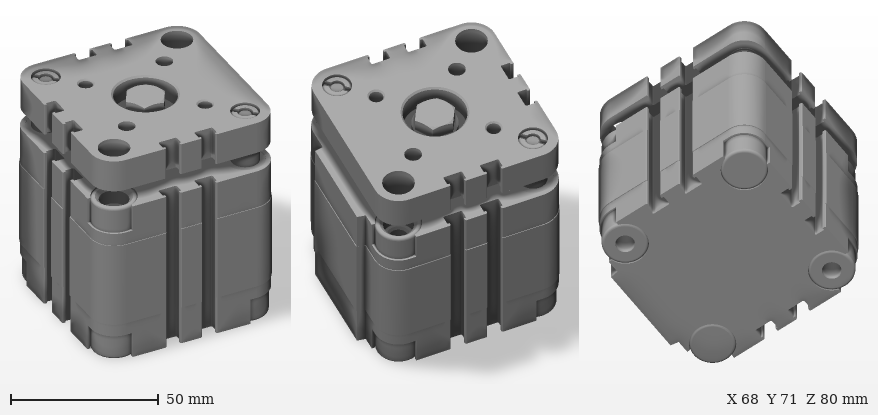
import cadquery as cq
import math


TOTAL_HEIGHT = 80
PLATE_THICKNESS = 12
PLATE_BOTTOM = TOTAL_HEIGHT - PLATE_THICKNESS
HOUSING_HEIGHT = 60.6
BARREL_BOTTOM = 14.5
BARREL_TOP = HOUSING_HEIGHT - BARREL_BOTTOM

BARREL_WIDTH = 68
CAP_INSET = 0.2
CAP_WIDTH = BARREL_WIDTH - 2 * CAP_INSET
PLATE_WIDTH = 67.2
CORNER_SPACING = 50.0
CORNER_OFFSET = CORNER_SPACING / 2

TAB_HEIGHT = 3.0
TAB_TIP_WIDTH = 34.0
TAB_BASE_WIDTH = 35.0

SLOT_OFFSET = 6.8
SLOT_WIDTH = 7.0
SLOT_MOUTH = 5.4
SLOT_DEPTH = 5.0
SLOT_LIP = 1.4
SLOT_MOUTH_CHAMFER = 0.3
SLOT_FLOOR_CHAMFER = 0.3
SLOT_SIDES = (0, -90, 90)

BOSS_DIAMETER = 16
BOSS_HEIGHT = 9.7
BOSS_FACE_DIAMETER = 14.0
BOSS_ROUND = (BOSS_DIAMETER - BOSS_FACE_DIAMETER) / 2
BOSS_CUT_START = 22.4

BOLT_HOLE = 6.6
BOLT_CONE = 8.2
BOLT_BORE = 10.4
BOLT_BORE_DEPTH = 6.4
BOLT_BORE_RIM = 13.0

GUIDE_DIAMETER = 10.0
GUIDE_COLLAR_DIAMETER = 11.0
GUIDE_COLLAR_HEIGHT = 0.4
SEAT_DIAMETER = 14.0
SEAT_DEPTH = 0.2

END_BORE = 10.2
END_FACE = 8.6
END_FACE_DEPTH = 0.5
END_SLOT_WIDTH = 2.0
END_SLOT_DEPTH = 2.2
STUD_DIAMETER = 5.3
STUD_TIP = 4
STUD_DEPTH = 1.1
END_SLOT_ANGLE = 45

ROD_DIAMETER = 16
ROD_TOP = 74.6
ACROSS_FLATS = 13.0
FLATS_BOTTOM = 61.5
HEAD_TOP = 79.4
HEAD_CONE_ANGLE = 30
HEX_SIDES = 6

CENTRE_BORE = 22.0
CENTRE_BORE_DEPTH = 7.8
CENTRE_CHAMFER = 0.6
BOLT_ACCESS_HOLE = 11.0
SMALL_HOLE = 6.0
SMALL_HOLE_SPACING = 30.0
SMALL_HOLE_OFFSET = SMALL_HOLE_SPACING / 2
THREAD_HOLE = 4.9

CORNERS = [(x, y) for x in (-1, 1) for y in (-1, 1)]
ROD_CORNERS = [(-1, -1), (1, 1)]
BOLT_CORNERS = [(-1, 1), (1, -1)]


def at_corners(corners, offset=CORNER_OFFSET):
    return [(x * offset, y * offset) for x, y in corners]


def cylinder(diameter, bottom, top, points=((0, 0),)):
    return (
        cq.Workplane("XY", origin=(0, 0, bottom))
        .pushPoints(list(points)).circle(diameter / 2).extrude(top - bottom)
    )


def cone(bottom_diameter, top_diameter, bottom, top):
    return cq.Workplane(
        cq.Solid.makeCone(bottom_diameter / 2, top_diameter / 2, top - bottom, pnt=cq.Vector(0, 0, bottom))
    )


def rounded_square(width, bottom, top):
    return (
        cq.Workplane("XY", origin=(0, 0, bottom))
        .rect(width, width).extrude(top - bottom)
        .edges("|Z").fillet(width / 2 - CORNER_OFFSET)
    )


def t_slots(face_width, bottom, top):
    """Pairs of T slots along -Y, -X and +X; mouth edges and floor corners are chamfered."""
    slot_bottom_y = SLOT_DEPTH - BARREL_WIDTH / 2
    lip_y = SLOT_LIP - BARREL_WIDTH / 2
    face_y = -face_width / 2
    half_width = SLOT_WIDTH / 2
    half_mouth = SLOT_MOUTH / 2
    half_flare = half_mouth + SLOT_MOUTH_CHAMFER
    profile = [
        (half_width - SLOT_FLOOR_CHAMFER, slot_bottom_y),
        (half_width, slot_bottom_y - SLOT_FLOOR_CHAMFER),
        (half_width, lip_y),
        (half_mouth, lip_y),
        (half_mouth, face_y + SLOT_MOUTH_CHAMFER),
        (half_flare, face_y),
    ]
    profile += [(-x, y) for x, y in reversed(profile)]
    slot = cq.Workplane("XY", origin=(0, 0, bottom)).polyline(profile).close().extrude(top - bottom)
    pair = slot.translate((-SLOT_OFFSET, 0, 0)).union(slot.translate((SLOT_OFFSET, 0, 0)))
    slots = cq.Workplane("XY")
    for turn in SLOT_SIDES:
        slots = slots.add(pair.rotate((0, 0, 0), (0, 0, 1), turn))
    return slots.combine()


def housing_section(width, bottom, top):
    """Length of the housing profile: rounded square with the tab on +Y."""
    inset = (BARREL_WIDTH - width) / 2
    base_y = width / 2
    tip_y = BARREL_WIDTH / 2 + TAB_HEIGHT - inset
    tab = (
        cq.Workplane("XY", origin=(0, 0, bottom))
        .polyline([
            (-TAB_BASE_WIDTH / 2, 0),
            (-TAB_BASE_WIDTH / 2, base_y),
            (-TAB_TIP_WIDTH / 2, tip_y),
            (TAB_TIP_WIDTH / 2, tip_y),
            (TAB_BASE_WIDTH / 2, base_y),
            (TAB_BASE_WIDTH / 2, 0),
        ]).close().extrude(top - bottom)
    )
    return rounded_square(width, bottom, top).union(tab).cut(t_slots(width, bottom, top))


def boss_cut(corner, at_top):
    """Material removed around a corner boss: the body corner outside it and its rounded rim."""
    x, y = corner
    bottom = HOUSING_HEIGHT - BOSS_HEIGHT if at_top else 0
    size = BARREL_WIDTH / 2 - BOSS_CUT_START
    middle = BOSS_CUT_START + size / 2
    centre = (x * CORNER_OFFSET, y * CORNER_OFFSET, 0)
    block = (
        cq.Workplane("XY", origin=(x * middle, y * middle, bottom))
        .box(size, size, BOSS_HEIGHT, centered=(True, True, False))
    )
    plug = cylinder(BOSS_DIAMETER, bottom, bottom + BOSS_HEIGHT).translate(centre)
    boss = plug.faces(">Z" if at_top else "<Z").edges().fillet(BOSS_ROUND)
    return block.union(plug).cut(boss)


def bolt_hole():
    """Through hole with a cone below a chamfered bore, on the Z axis."""
    bore_floor = HOUSING_HEIGHT - BOLT_BORE_DEPTH
    cone_depth = (BOLT_CONE - BOLT_HOLE) / 2
    rim_depth = (BOLT_BORE_RIM - BOLT_BORE) / 2
    return (
        cylinder(BOLT_HOLE, 0, HOUSING_HEIGHT)
        .union(cone(BOLT_HOLE, BOLT_CONE, bore_floor - cone_depth, bore_floor))
        .union(cylinder(BOLT_BORE, bore_floor, HOUSING_HEIGHT))
        .union(cone(BOLT_BORE, BOLT_BORE_RIM, HOUSING_HEIGHT - rim_depth, HOUSING_HEIGHT))
    )


def make_housing():
    housing = (
        housing_section(CAP_WIDTH, 0, BARREL_BOTTOM)
        .union(housing_section(BARREL_WIDTH, BARREL_BOTTOM, BARREL_TOP))
        .union(housing_section(CAP_WIDTH, BARREL_TOP, HOUSING_HEIGHT))
    )
    for corner in CORNERS:
        housing = housing.cut(boss_cut(corner, at_top=False))
    for corner in BOLT_CORNERS:
        housing = housing.cut(boss_cut(corner, at_top=True))
    for x, y in at_corners(BOLT_CORNERS):
        housing = housing.cut(bolt_hole().translate((x, y, 0)))
    seats = cylinder(SEAT_DIAMETER, HOUSING_HEIGHT - SEAT_DEPTH, HOUSING_HEIGHT, at_corners(ROD_CORNERS))
    return housing.cut(seats)


def plate_blank():
    plate = (
        rounded_square(PLATE_WIDTH, PLATE_BOTTOM, TOTAL_HEIGHT)
        .cut(t_slots(PLATE_WIDTH, PLATE_BOTTOM, TOTAL_HEIGHT))
        .cut(cylinder(BOLT_ACCESS_HOLE, PLATE_BOTTOM, TOTAL_HEIGHT, at_corners(BOLT_CORNERS)))
        .cut(cylinder(SMALL_HOLE, PLATE_BOTTOM, TOTAL_HEIGHT, at_corners(BOLT_CORNERS, SMALL_HOLE_OFFSET)))
    )
    chamfer = (SMALL_HOLE - THREAD_HOLE) / 2
    thread = cylinder(THREAD_HOLE, PLATE_BOTTOM, TOTAL_HEIGHT).union(
        cone(THREAD_HOLE, SMALL_HOLE, TOTAL_HEIGHT - chamfer, TOTAL_HEIGHT)
    )
    for x, y in at_corners(ROD_CORNERS, SMALL_HOLE_OFFSET):
        plate = plate.cut(thread.translate((x, y, 0)))
    rim = CENTRE_BORE + 2 * CENTRE_CHAMFER
    bore = cylinder(CENTRE_BORE, TOTAL_HEIGHT - CENTRE_BORE_DEPTH, TOTAL_HEIGHT).union(
        cone(CENTRE_BORE, rim, TOTAL_HEIGHT - CENTRE_CHAMFER, TOTAL_HEIGHT)
    )
    return plate.cut(bore)


def rod_end_cut():
    """Recess over a rod end: chamfered slotted face around a sunken chamfered stud."""
    bottom = TOTAL_HEIGHT - END_SLOT_DEPTH
    face = TOTAL_HEIGHT - END_FACE_DEPTH
    stud_top = TOTAL_HEIGHT - STUD_DEPTH
    face_chamfer = (END_BORE - END_FACE) / 2
    stud_chamfer = (STUD_DIAMETER - STUD_TIP) / 2
    end = cylinder(END_BORE, bottom, face).faces(">Z").chamfer(face_chamfer)
    slot = (
        cq.Workplane("XY", origin=(0, 0, bottom))
        .box(END_BORE, END_SLOT_WIDTH, END_SLOT_DEPTH, centered=(True, True, False))
        .rotate((0, 0, 0), (0, 0, 1), END_SLOT_ANGLE)
    )
    stud = cylinder(STUD_DIAMETER, bottom, stud_top).faces(">Z").chamfer(stud_chamfer)
    end = end.cut(slot).cut(cylinder(STUD_DIAMETER, bottom, face)).union(stud)
    return cylinder(END_BORE, bottom, TOTAL_HEIGHT).cut(end)


def guide_rods():
    points = at_corners(ROD_CORNERS)
    collars = cylinder(GUIDE_COLLAR_DIAMETER, PLATE_BOTTOM - GUIDE_COLLAR_HEIGHT, PLATE_BOTTOM, points)
    return cylinder(GUIDE_DIAMETER, HOUSING_HEIGHT - SEAT_DEPTH, PLATE_BOTTOM, points).union(collars)


def piston_rod():
    """Round rod with two flats facing -Y and +Y."""
    flats = (
        cq.Workplane("XY", origin=(0, 0, FLATS_BOTTOM))
        .box(ROD_DIAMETER, ACROSS_FLATS, PLATE_BOTTOM - FLATS_BOTTOM, centered=(True, True, False))
    )
    flatted = cylinder(ROD_DIAMETER, FLATS_BOTTOM, PLATE_BOTTOM).intersect(flats)
    foot = cylinder(ROD_DIAMETER, HOUSING_HEIGHT, FLATS_BOTTOM)
    return foot.union(flatted).union(cylinder(ROD_DIAMETER, PLATE_BOTTOM, ROD_TOP))


def screw_head():
    """Hexagon with two sides facing -X and +X and a conical top."""
    half_side_angle = 180 / HEX_SIDES
    across_corners = ACROSS_FLATS / math.cos(math.radians(half_side_angle))
    height = HEAD_TOP - ROD_TOP
    hexagon = (
        cq.Workplane("XY", origin=(0, 0, ROD_TOP))
        .polygon(HEX_SIDES, across_corners).extrude(height)
        .rotate((0, 0, 0), (0, 0, 1), half_side_angle)
    )
    slope = math.tan(math.radians(HEAD_CONE_ANGLE))
    top_cone = cone(ACROSS_FLATS + 2 * height / slope, ACROSS_FLATS, ROD_TOP, HEAD_TOP)
    return hexagon.intersect(top_cone)


def make_moving_plate():
    plate = plate_blank().union(guide_rods()).union(piston_rod()).union(screw_head())
    for x, y in at_corners(ROD_CORNERS):
        plate = plate.cut(rod_end_cut().translate((x, y, 0)))
    return plate


housing = make_housing()
moving_plate = make_moving_plate()

result = cq.Compound.makeCompound([housing.val(), moving_plate.val()])